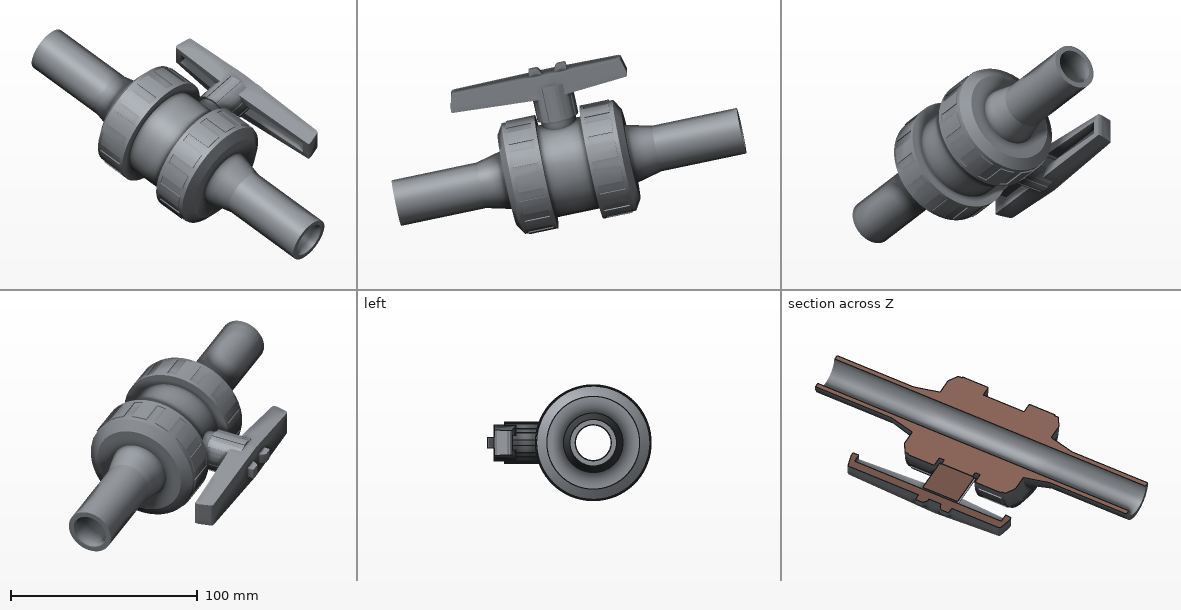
import cadquery as cq
import math


TOTAL_LENGTH = 189.0
BORE_DIA = 19.0
PIPE_DIA = 25.0
CONE_DIA = 32.0
CONE_START = 48.0

NUT_OUTER = 33.8
NUT_INNER = 12.3
NUT_FACE_DIA = 49.7
NUT_BASE_DIA = 60.7
NUT_GRIP_DIA = 62.0
NUT_CHAMFER_LENGTH = 3.4
GRIP_END = 28.2
GRIP_FLANGE = 2.0
GROOVE_COUNT = 14
GROOVE_WIDTH = 5.3
GROOVE_PHASE = 18.0

BODY_DIA = 50.3
NECK_DIA = 19.0
NECK_TOP = 28.2

HUB_DIA = 22.5
HUB_ROOT_DIA = 21.4
HUB_TOP = 47.5
FLUTE_COUNT = 10
FLUTE_ANGLE = 15.0

BAR_TOP = 53.1
BAR_MIDDLE_BOTTOM = 40.8
BAR_END_BOTTOM = 43.5
BAR_LEFT = -41.4
BAR_RIGHT = 55.0
BAR_END_RAKE = 1.9
BAR_MIDDLE_WIDTH = 19.3
BAR_END_WIDTH = 13.2
BAR_RAKE_START = 45.5
BAR_TOP_FILLET = 1.5
BAR_BOTTOM_FILLET = 1.0
POCKET_WIDTH = 7.5
POCKET_FLOOR = 48.2
POCKET_END_WALL = 3.8

LUG_TOP = 56.7
LUG_WIDTH = 5.7
LUG_INNER = 3.5
LUG_OUTER = 10.2
LUG_ROUND = 4.2
LUG_FILLET = 0.8


def x_cylinder(diameter, x_start, x_end):
    return cq.Workplane("YZ", origin=(x_start, 0, 0)).circle(diameter / 2).extrude(x_end - x_start)


def y_cylinder(diameter, y_start, y_end):
    return cq.Workplane("XZ", origin=(0, y_start, 0)).circle(diameter / 2).extrude(y_start - y_end)


def make_nut():
    """Union nut on the -X side, with narrow grooves open at their outer end."""
    face_radius = NUT_FACE_DIA / 2
    base_radius = NUT_BASE_DIA / 2
    profile = [
        (-NUT_OUTER, 0),
        (-NUT_OUTER, face_radius),
        (-NUT_OUTER + NUT_CHAMFER_LENGTH, base_radius),
        (-NUT_INNER, base_radius),
        (-NUT_INNER, 0),
    ]
    core = cq.Workplane("XY").polyline(profile).close().revolve(360, (0, 0, 0), (1, 0, 0))
    grip = x_cylinder(NUT_GRIP_DIA, -GRIP_END, -NUT_INNER)

    groove_length = GRIP_END - NUT_INNER - GRIP_FLANGE
    groove = cq.Workplane("XY").box(
        groove_length, GROOVE_WIDTH, NUT_GRIP_DIA, centered=(False, True, False)
    ).translate((-GRIP_END, 0, 0))
    for i in range(GROOVE_COUNT):
        angle = -GROOVE_PHASE + i * 360 / GROOVE_COUNT
        grip = grip.cut(groove.rotate((0, 0, 0), (1, 0, 0), angle))
    return core.union(grip)


def make_pipe_end():
    """Straight pipe and flaring cone on the -X side."""
    profile = [
        (-TOTAL_LENGTH / 2, 0),
        (-TOTAL_LENGTH / 2, PIPE_DIA / 2),
        (-CONE_START, PIPE_DIA / 2),
        (-NUT_OUTER, CONE_DIA / 2),
        (-NUT_OUTER, 0),
    ]
    return cq.Workplane("XY").polyline(profile).close().revolve(360, (0, 0, 0), (1, 0, 0))


def make_valve():
    """Body, both nuts and both pipe ends, with a straight bore."""
    side = make_nut().union(make_pipe_end())
    valve = x_cylinder(BODY_DIA, -NUT_INNER, NUT_INNER)
    valve = valve.union(y_cylinder(NECK_DIA, 0, NECK_TOP))
    for turn in (0, 180):
        valve = valve.union(side.rotate((0, 0, 0), (0, 0, 1), turn))
    return valve.cut(x_cylinder(BORE_DIA, -TOTAL_LENGTH / 2, TOTAL_LENGTH / 2))


def make_hub():
    """Fluted hub standing on the neck; a rib points along +Z."""
    hub = y_cylinder(HUB_DIA, NECK_TOP, HUB_TOP)
    core = y_cylinder(HUB_ROOT_DIA, NECK_TOP, HUB_TOP)
    half_width = HUB_DIA * math.tan(math.radians(FLUTE_ANGLE / 2))
    sector = (
        cq.Workplane("XZ", origin=(0, NECK_TOP, 0))
        .polyline([(0, 0), (-half_width, HUB_DIA), (half_width, HUB_DIA)])
        .close()
        .extrude(NECK_TOP - HUB_TOP)
    )
    flute = sector.cut(core)
    pitch = 360 / FLUTE_COUNT
    for i in range(FLUTE_COUNT):
        hub = hub.cut(flute.rotate((0, 0, 0), (0, 1, 0), (i + 0.5) * pitch))
    return hub


def make_bar():
    """Bar with raked ends, widest over the hub and tapering both ways."""
    side_outline = [
        (BAR_LEFT, BAR_END_BOTTOM),
        (0, BAR_MIDDLE_BOTTOM),
        (BAR_RIGHT, BAR_END_BOTTOM),
        (BAR_RIGHT, BAR_RAKE_START),
        (BAR_RIGHT - BAR_END_RAKE, BAR_TOP),
        (BAR_LEFT + BAR_END_RAKE, BAR_TOP),
        (BAR_LEFT, BAR_RAKE_START),
    ]
    bar = (
        cq.Workplane("XY")
        .polyline(side_outline)
        .close()
        .extrude(BAR_MIDDLE_WIDTH / 2, both=True)
        .edges("|Z and >Y")
        .fillet(BAR_TOP_FILLET)
    )
    left_bottom_corner = cq.selectors.NearestToPointSelector((BAR_LEFT, BAR_END_BOTTOM, 0))
    bar = bar.edges(left_bottom_corner).fillet(BAR_BOTTOM_FILLET)
    plan_outline = [
        (BAR_LEFT, -BAR_END_WIDTH / 2),
        (0, -BAR_MIDDLE_WIDTH / 2),
        (BAR_RIGHT, -BAR_END_WIDTH / 2),
        (BAR_RIGHT, BAR_END_WIDTH / 2),
        (0, BAR_MIDDLE_WIDTH / 2),
        (BAR_LEFT, BAR_END_WIDTH / 2),
    ]
    plan = cq.Workplane("XZ").polyline(plan_outline).close().extrude(-BAR_TOP)
    pocket_left = BAR_LEFT + POCKET_END_WALL
    pocket_right = BAR_RIGHT - POCKET_END_WALL
    pocket = cq.Workplane("XY").box(
        pocket_right - pocket_left, POCKET_FLOOR, POCKET_WIDTH, centered=(False, False, True)
    ).translate((pocket_left, 0, 0))
    return bar.intersect(plan).cut(pocket)


def make_lug():
    """Pointer lug on the -X side, rounded toward the middle."""
    rise = LUG_TOP - BAR_TOP
    arc_center = -LUG_INNER - LUG_ROUND
    flat_end = arc_center + math.sqrt(LUG_ROUND**2 - rise**2)
    arc_middle = (arc_center + math.sqrt(LUG_ROUND**2 - (rise / 2) ** 2), BAR_TOP + rise / 2)
    return (
        cq.Workplane("XY")
        .moveTo(-LUG_OUTER, BAR_TOP)
        .lineTo(-LUG_OUTER, LUG_TOP)
        .lineTo(flat_end, LUG_TOP)
        .threePointArc(arc_middle, (-LUG_INNER, BAR_TOP))
        .close()
        .extrude(LUG_WIDTH / 2, both=True)
        .edges("|Z and <X and >Y")
        .fillet(LUG_FILLET)
    )


def make_handle():
    handle = make_bar().union(make_hub())
    lug = make_lug()
    return handle.union(lug).union(lug.mirror("YZ"))


valve = make_valve()
handle = make_handle()
result = cq.Compound.makeCompound([valve.solids().val(), handle.solids().val()])